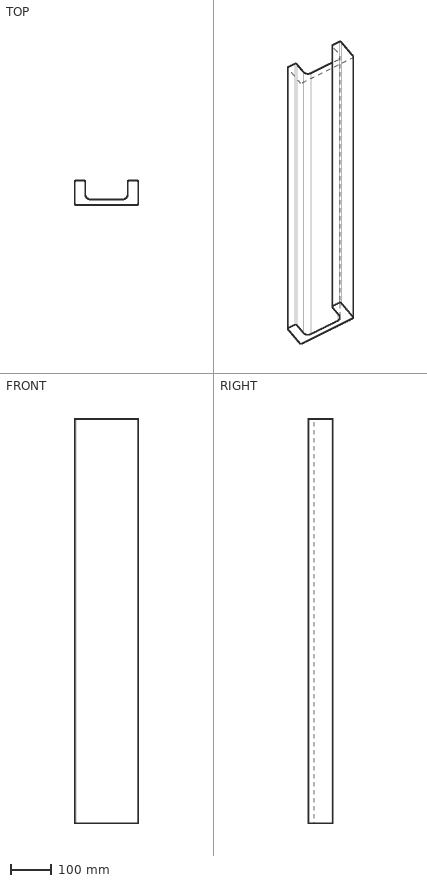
import cadquery as cq

width = 157.0
depth = 61.0
length = 1000.0

flange_thickness = 26.0
web_thickness = 14.0
outer_edge_radius = 3.0
inner_corner_radius = 13.0

inner_half_width = width / 2 - flange_thickness


def build_channel():
    """U-shaped channel along Z, open toward +Y, with its web on the -Y side."""
    body = cq.Workplane("XY").box(width, depth, length)
    groove = (
        cq.Workplane("XY")
        .box(2 * inner_half_width, depth, length)
        .translate((0, web_thickness, 0))
    )
    return body.cut(groove)


def round_long_edges(channel):
    """Round the two inner corners, then all the outer and flange-tip edges."""
    web_face_y = -depth / 2 + web_thickness
    inner_corners = cq.selectors.BoxSelector(
        (-width / 2 + outer_edge_radius, web_face_y - outer_edge_radius, -length),
        (width / 2 - outer_edge_radius, web_face_y + outer_edge_radius, length),
    )
    channel = channel.edges("|Z").edges(inner_corners).fillet(inner_corner_radius)
    return channel.edges("|Z and (<Y or >Y)").fillet(outer_edge_radius)


result = round_long_edges(build_channel())